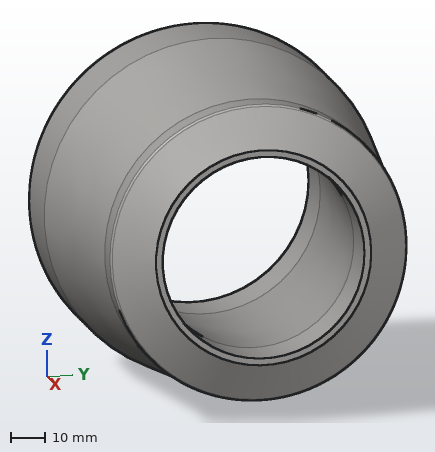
import cadquery as cq
import math

length = 100.0
large_outer_radius = 101.6 / 2
small_outer_radius = 88.9 / 2
large_bore_radius = 69.6 / 2
small_bore_radius = 60.5 / 2

taper_start = 30.0
bore_taper_start = 16.6
taper_end = 84.9

land_width = 2.0
bevel_angle = math.radians(30)
bevel_edge_radius = 1.0
edge_search_margin = 1.0


def bevel_length(outer_radius, bore_radius):
    """Axial length of the bevel from the land out to the outer radius."""
    return (outer_radius - bore_radius - land_width) * math.tan(bevel_angle)


large_bevel = bevel_length(large_outer_radius, large_bore_radius)
small_bevel = bevel_length(small_outer_radius, small_bore_radius)


def make_body():
    """Solid outer shape, revolved around the X axis."""
    profile = (
        cq.Workplane("XY")
        .polyline([
            (0, 0),
            (0, large_bore_radius + land_width),
            (large_bevel, large_outer_radius),
            (taper_start, large_outer_radius),
            (taper_end, small_outer_radius),
            (length - small_bevel, small_outer_radius),
            (length, small_bore_radius + land_width),
            (length, 0),
        ])
        .close()
    )
    return profile.revolve(360, (0, 0, 0), (1, 0, 0))


def edge_band(station):
    """Select edges lying within a thin slice across the part at an axial station."""
    return cq.selectors.BoxSelector(
        (station - edge_search_margin, -length, -length),
        (station + edge_search_margin, length, length),
    )


def round_bevel_edges(body):
    """Soften the edge where each bevel meets its outer cylinder."""
    bevel_edges = edge_band(large_bevel) + edge_band(length - small_bevel)
    return body.edges("%CIRCLE").edges(bevel_edges).fillet(bevel_edge_radius)


def make_bore():
    """Through bore that tapers down towards the small end."""
    profile = (
        cq.Workplane("XY")
        .polyline([
            (0, 0),
            (0, large_bore_radius),
            (bore_taper_start, large_bore_radius),
            (taper_end, small_bore_radius),
            (length, small_bore_radius),
            (length, 0),
        ])
        .close()
    )
    return profile.revolve(360, (0, 0, 0), (1, 0, 0))


result = round_bevel_edges(make_body()).cut(make_bore())